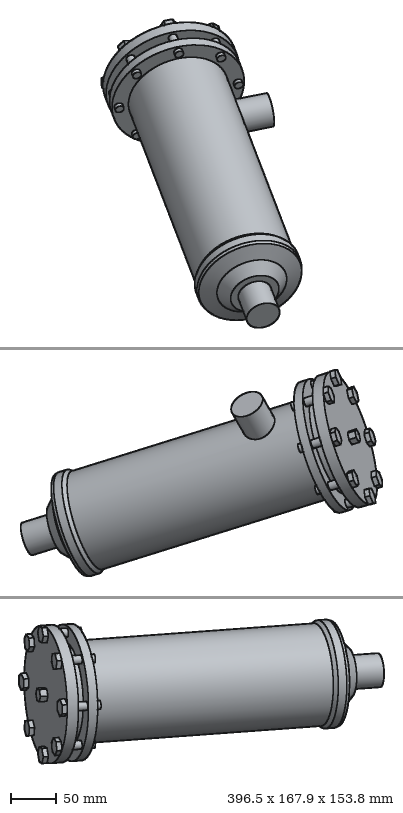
import cadquery as cq
import math

total_length = 396.5
bolt_head_start = 2.8
cover_start = 8.7
cover_end = 22.0
flange_start = 33.7
flange_end = 44.5
stud_end = 49.0
collar_start = 324.7
collar_full = 329.5
collar_end = 339.5
cap_rim = 343.0
cap_knee = 349.5
cap_end = 361.5

body_diameter = 114.0
cover_diameter = 153.0
flange_diameter = 152.0
collar_diameter = 120.5
cap_rim_diameter = 118.0
cap_knee_diameter = 80.0
cap_end_diameter = 55.5
pipe_diameter = 38.0

bolt_count = 8
bolt_circle_diameter = 136.8
bolt_head_flats = 17.0
stud_diameter = 10.0
centre_head_flats = 14.0
inlet_center_x = 94.5
inlet_reach = 91.0


def cylinder_x(diameter, start, end):
    """Cylinder on the X axis between two X positions."""
    return cq.Workplane("YZ", origin=(start, 0, 0)).circle(diameter / 2).extrude(end - start)


def hex_head(flats, start, end):
    """Hexagonal head on the X axis with two flats facing +Z and -Z."""
    head = cq.Workplane("YZ", origin=(start, 0, 0))
    corner_diameter = flats / math.cos(math.pi / 6)
    return head.polygon(6, corner_diameter).extrude(end - start)


def make_vessel():
    """Revolved body with its collar, tapered end cap and outlet pipe."""
    profile = (
        cq.Workplane("XY")
        .moveTo(cover_start, 0)
        .lineTo(cover_start, body_diameter / 2)
        .lineTo(collar_start, body_diameter / 2)
        .lineTo(collar_full, collar_diameter / 2)
        .lineTo(collar_end, collar_diameter / 2)
        .lineTo(cap_rim, cap_rim_diameter / 2)
        .lineTo(cap_knee, cap_knee_diameter / 2)
        .lineTo(cap_end, cap_end_diameter / 2)
        .lineTo(cap_end, pipe_diameter / 2)
        .lineTo(total_length, pipe_diameter / 2)
        .lineTo(total_length, 0)
        .close()
    )
    return profile.revolve(360, (0, 0, 0), (1, 0, 0))


def make_inlet():
    """Side pipe running from the body axis out along +Y."""
    plane = cq.Plane(origin=(inlet_center_x, 0, 0), xDir=(1, 0, 0), normal=(0, 1, 0))
    return cq.Workplane(plane).circle(pipe_diameter / 2).extrude(inlet_reach)


def make_bolt(angle):
    """Bolt on the bolt circle, with a flat of its head facing outward."""
    head = hex_head(bolt_head_flats, bolt_head_start, cover_start)
    stud = cylinder_x(stud_diameter, cover_start, stud_end)
    bolt = head.union(stud).translate((0, 0, bolt_circle_diameter / 2))
    return bolt.rotate((0, 0, 0), (1, 0, 0), angle)


result = make_vessel()
result = result.union(make_inlet())
result = result.union(cylinder_x(cover_diameter, cover_start, cover_end))
result = result.union(cylinder_x(flange_diameter, flange_start, flange_end))
result = result.union(hex_head(centre_head_flats, 0, cover_start))
for index in range(bolt_count):
    result = result.union(make_bolt(index * 360 / bolt_count))